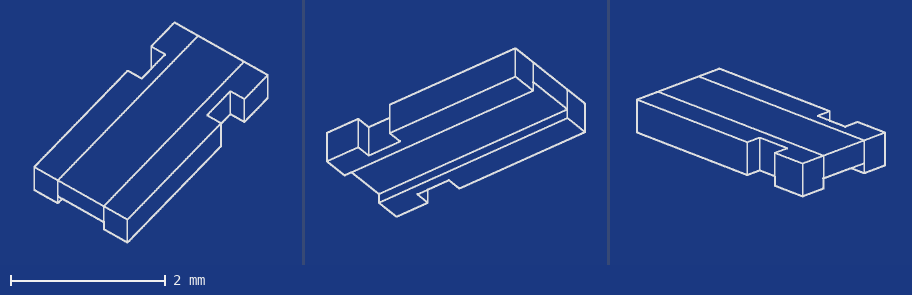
import cadquery as cq

length = 3.05
width = 1.5
height = 0.46

rail_width = 0.38
plate_thickness = 0.32
plate_width = width - 2 * rail_width

notch_length = length / 6
notch_end_distance = length / 6
notch_depth = 0.225


def make_plate():
    """Flat plate, flush with the tops of the rails and open underneath."""
    plate = cq.Workplane("XY").box(plate_width, length, plate_thickness)
    return plate.translate((0, 0, (height - plate_thickness) / 2))


def make_rail(side):
    """Full-height rail on the -X side (side = -1) or +X side (side = 1), notched on its outer face."""
    rail_x = side * (plate_width + rail_width) / 2
    rail = cq.Workplane("XY").box(rail_width, length, height).translate((rail_x, 0, 0))

    notch_x = side * (width - notch_depth) / 2
    notch_y = length / 2 - notch_end_distance - notch_length / 2
    notch = cq.Workplane("XY").box(notch_depth, notch_length, height).translate((notch_x, notch_y, 0))
    return rail.cut(notch).solids()


plate = make_plate()
rails = [make_rail(side) for side in (-1, 1)]

result = cq.Compound.makeCompound([plate.val(), *[rail.val() for rail in rails]])